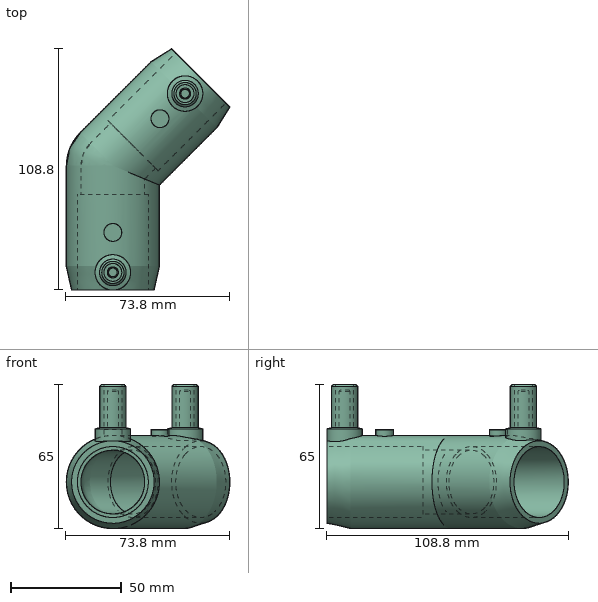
import cadquery as cq
import math

BEND_ANGLE = 45
LEG_LENGTH = 56.0
BODY_RADIUS = 21.0
TIP_RADIUS = 18.6
TAPER_LENGTH = 10.7

BORE_RADIUS = 14.3
SOCKET_RADIUS = 16.0
SOCKET_DEPTH = 43.1

COLLAR_RADIUS = 7.99
COLLAR_RIM_Z = 23.9
COLLAR_TOP_Z = 24.5
POST_RADIUS = 6.0
POST_TOP_Z = 44.0
POST_CHAMFER = 1.0
CAVITY_RADIUS = 4.0
CONTACT_RADIUS = 2.5
CONTACT_CHAMFER = 0.5
CONTACT_RECESS = 2.6
STRAIGHT_TERMINAL_DISTANCE = LEG_LENGTH - COLLAR_RADIUS
TURNED_TERMINAL_DISTANCE = 46.0

BUTTON_RADIUS = 4.0
BUTTON_TOP_Z = 23.6
BUTTON_DISTANCE = 30.0

ROOT_Z = (SOCKET_RADIUS + TIP_RADIUS) / 2


def turn(shape):
    """Swing a shape from the +Y direction onto the second leg."""
    return shape.rotate((0, 0, 0), (0, 0, 1), -BEND_ANGLE)


def reverse(shape):
    """Swing a shape from the +Y direction onto the first leg."""
    return shape.rotate((0, 0, 0), (0, 0, 1), 180)


def leg_body():
    """Solid leg along +Y with a tapered end."""
    profile = [
        (0, 0),
        (BODY_RADIUS, 0),
        (BODY_RADIUS, LEG_LENGTH - TAPER_LENGTH),
        (TIP_RADIUS, LEG_LENGTH),
        (0, LEG_LENGTH),
    ]
    return cq.Workplane("XY").polyline(profile).close().revolve(360, (0, 0, 0), (0, 1, 0))


def leg_bore():
    """Stepped bore of a leg along +Y."""
    socket_floor = LEG_LENGTH - SOCKET_DEPTH
    profile = [
        (0, 0),
        (BORE_RADIUS, 0),
        (BORE_RADIUS, socket_floor),
        (SOCKET_RADIUS, socket_floor),
        (SOCKET_RADIUS, LEG_LENGTH),
        (0, LEG_LENGTH),
    ]
    return cq.Workplane("XY").polyline(profile).close().revolve(360, (0, 0, 0), (0, 1, 0))


def elbow(leg, radius):
    """Join both copies of a leg with a ball at the bend."""
    return reverse(leg).union(turn(leg)).union(cq.Workplane("XY").sphere(radius))


def terminal():
    """Collar, hollow post and contact pin about the Z axis."""
    contact_z = POST_TOP_Z - CONTACT_RECESS
    profile = [
        (0, ROOT_Z),
        (COLLAR_RADIUS, ROOT_Z),
        (COLLAR_RADIUS, COLLAR_RIM_Z),
        (POST_RADIUS, COLLAR_TOP_Z),
        (POST_RADIUS, POST_TOP_Z - POST_CHAMFER),
        (POST_RADIUS - POST_CHAMFER, POST_TOP_Z),
        (CAVITY_RADIUS, POST_TOP_Z),
        (CAVITY_RADIUS, COLLAR_TOP_Z),
        (CONTACT_RADIUS, COLLAR_TOP_Z),
        (CONTACT_RADIUS, contact_z - CONTACT_CHAMFER),
        (CONTACT_RADIUS - CONTACT_CHAMFER, contact_z),
        (0, contact_z),
    ]
    return cq.Workplane("XZ").polyline(profile).close().revolve(360, (0, 0, 0), (0, 1, 0))


def button():
    """Indicator button about the Z axis."""
    return cq.Workplane("XY").workplane(offset=ROOT_Z).circle(BUTTON_RADIUS).extrude(BUTTON_TOP_Z - ROOT_Z)


def fittings(terminal_distance):
    """Terminal and button placed along +Y."""
    placed_terminal = terminal().translate((0, terminal_distance, 0))
    placed_button = button().translate((0, BUTTON_DISTANCE, 0))
    return placed_terminal.union(placed_button)


outside = elbow(leg_body(), BODY_RADIUS)
outside = outside.union(reverse(fittings(STRAIGHT_TERMINAL_DISTANCE)))
outside = outside.union(turn(fittings(TURNED_TERMINAL_DISTANCE)))
result = outside.cut(elbow(leg_bore(), BORE_RADIUS))